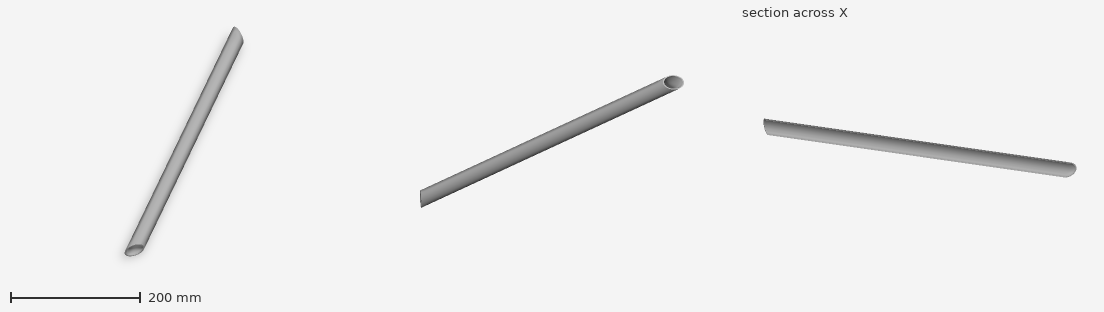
import cadquery as cq
import math

outer_diameter = 25.0
wall_thickness = 1.5
overall_length = 534.28
miter_angle = 41.3
miter_roll = 8.0

outer_radius = outer_diameter / 2
inner_radius = outer_radius - wall_thickness
half_length = overall_length / 2
miter_slope = math.tan(math.radians(miter_angle))


def make_tube():
    """Straight round tube along Y, centred on the origin, with square ends."""
    return (
        cq.Workplane("XZ")
        .circle(outer_radius)
        .circle(inner_radius)
        .extrude(half_length, both=True)
    )


def make_miter_envelope():
    """Trapezoidal block, wider than the tube, whose slanted sides are the mitered end planes."""
    block_half_width = outer_diameter
    middle_half_length = half_length - outer_radius * miter_slope
    long_half_length = middle_half_length + block_half_width * miter_slope
    short_half_length = middle_half_length - block_half_width * miter_slope
    block = (
        cq.Workplane("XY")
        .moveTo(-block_half_width, -long_half_length)
        .lineTo(block_half_width, -short_half_length)
        .lineTo(block_half_width, short_half_length)
        .lineTo(-block_half_width, long_half_length)
        .close()
        .extrude(block_half_width, both=True)
    )
    return block.rotate((0, 0, 0), (0, 1, 0), miter_roll)


result = make_tube().intersect(make_miter_envelope())